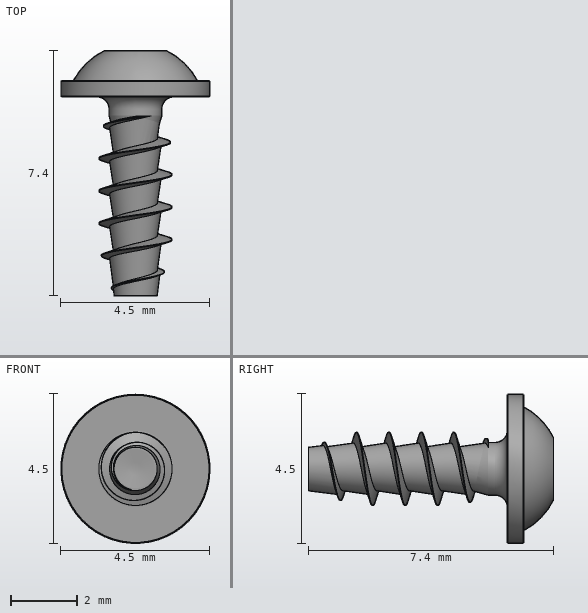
import cadquery as cq
import math


flange_diameter = 4.5
flange_thickness = 0.5
flange_edge_chamfer = 0.03
head_height = 1.4
dome_base_radius = 1.87
dome_top_radius = 0.94

screw_length = 6.0
shank_radius = 0.8
neck_fillet = 0.36
shank_length = 0.57
shank_runout_angle = 16.0
shank_runout_length = 0.6
tip_radius = 0.635
tip_rim_width = 0.045
tip_dimple_depth = 0.06

thread_radius = 1.105
thread_pitch = 0.98
crest_width = 0.025
flank_angle = 15.0
crest_start_angle = 90.0
crest_start_depth = 1.607
lead_in_rise_per_turn = 0.185
tip_taper_turn = 3
tip_taper_drop_per_turn = 0.315
crest_radius_at_tip = 0.655

groove_start_turn = -2.5
root_radius_upper = 0.78
root_radius_drop = 0.115
root_taper_turn = 3.5
root_taper_drop_per_turn = 0.15
outer_groove_radius = thread_radius + 0.1
points_per_turn = 24


def crest_depth(turn):
    return crest_start_depth + turn * thread_pitch


def crest_radius(turn):
    """Crest radius along the thread: rising lead-in, full radius, falling tip taper."""
    lead_in_drop = lead_in_rise_per_turn * max(0, -turn)
    tip_drop = tip_taper_drop_per_turn * max(0, turn - tip_taper_turn)
    return thread_radius - lead_in_drop - tip_drop


def upper_root_radius(turn):
    """Groove floor radius just below the crest at the given turn."""
    return root_radius_upper - root_taper_drop_per_turn * max(0, turn - root_taper_turn)


def flank_offset(turn, radius):
    """Axial distance from the crest centre to the thread flank at a radius."""
    flank_height = max(crest_radius(turn), upper_root_radius(turn)) - radius
    return crest_width / 2 + flank_height * math.tan(math.radians(flank_angle))


def make_head_and_shank():
    """Flanged dome head, neck fillet, plain shank and the cone where it runs out."""
    flange_radius = flange_diameter / 2
    dome_height = head_height - flange_thickness

    dome_top_to_center = (dome_base_radius**2 - dome_top_radius**2 + dome_height**2) / (2 * dome_height)
    dome_center = dome_top_to_center - head_height
    dome_radius = math.hypot(dome_top_radius, dome_top_to_center)
    dome_middle_radius = (dome_base_radius + dome_top_radius) / 2
    dome_middle = dome_center - math.sqrt(dome_radius**2 - dome_middle_radius**2)

    fillet_offset = neck_fillet * (1 - math.sqrt(0.5))
    runout_drop = shank_runout_length * math.tan(math.radians(shank_runout_angle))
    return (
        cq.Workplane("YZ")
        .moveTo(0, -head_height)
        .lineTo(dome_top_radius, -head_height)
        .threePointArc((dome_middle_radius, dome_middle), (dome_base_radius, -flange_thickness))
        .lineTo(flange_radius - flange_edge_chamfer, -flange_thickness)
        .lineTo(flange_radius, -flange_thickness + flange_edge_chamfer)
        .lineTo(flange_radius, -flange_edge_chamfer)
        .lineTo(flange_radius - flange_edge_chamfer, 0)
        .lineTo(shank_radius + neck_fillet, 0)
        .threePointArc(
            (shank_radius + fillet_offset, fillet_offset),
            (shank_radius, neck_fillet),
        )
        .lineTo(shank_radius, shank_length)
        .lineTo(shank_radius - runout_drop, shank_length + shank_runout_length)
        .lineTo(0, shank_length + shank_runout_length)
        .close()
        .revolve(360, (0, 0, 0), (0, 1, 0))
    )


def make_thread_blank():
    """Envelope of the thread crests, with a shallow conical dimple in the tip face."""
    thread_start_turn = (shank_length - crest_start_depth) / thread_pitch
    return (
        cq.Workplane("YZ")
        .moveTo(0, shank_length)
        .lineTo(crest_radius(thread_start_turn), shank_length)
        .lineTo(thread_radius, crest_depth(0))
        .lineTo(thread_radius, crest_depth(tip_taper_turn))
        .lineTo(crest_radius_at_tip, screw_length)
        .lineTo(tip_radius - tip_rim_width, screw_length)
        .lineTo(0, screw_length - tip_dimple_depth)
        .close()
        .revolve(360, (0, 0, 0), (0, 1, 0))
    )


def groove_corners(turn):
    """Corners (radius, depth) of the groove section between the crest at a turn and the next one."""
    upper_root = upper_root_radius(turn)
    lower_root = upper_root - root_radius_drop
    return [
        (outer_groove_radius, crest_depth(turn) + flank_offset(turn, outer_groove_radius)),
        (upper_root, crest_depth(turn) + flank_offset(turn, upper_root)),
        (lower_root, crest_depth(turn + 1) - flank_offset(turn + 1, lower_root)),
        (outer_groove_radius, crest_depth(turn + 1) - flank_offset(turn + 1, outer_groove_radius)),
    ]


def groove_edge(start_turn, corner):
    """One-turn spline along one corner of the groove section, winding about the axis."""
    points = []
    for step in range(points_per_turn + 1):
        turn = start_turn + step / points_per_turn
        radius, depth = groove_corners(turn)[corner]
        angle = math.radians(crest_start_angle + 360 * turn)
        points.append(cq.Vector(radius * math.cos(angle), radius * math.sin(angle), depth))
    return cq.Edge.makeSpline(points)


def make_groove_turn(start_turn):
    """One turn of the groove, bounded by four winding faces and two flat ends."""
    corner_count = len(groove_corners(start_turn))
    edges = [groove_edge(start_turn, corner) for corner in range(corner_count)]
    next_edges = edges[1:] + edges[:1]
    faces = [cq.Face.makeRuledSurface(first, second) for first, second in zip(edges, next_edges)]
    start_points = [edge.startPoint() for edge in edges]
    end_points = [edge.endPoint() for edge in edges]
    for section_points in (start_points, end_points):
        section = cq.Wire.makePolygon(section_points, close=True)
        faces.append(cq.Face.makeFromWires(section))
    groove_turn = cq.Solid.makeSolid(cq.Shell.makeShell(faces)).fix()
    return cq.Workplane(obj=groove_turn)


def make_threaded_shank():
    """Thread blank with the groove cut one turn at a time, from the shank to the tip."""
    turns_to_tip = (screw_length - crest_depth(groove_start_turn)) / thread_pitch
    threaded_shank = make_thread_blank()
    for turn in range(math.ceil(turns_to_tip)):
        threaded_shank = threaded_shank.cut(make_groove_turn(groove_start_turn + turn))
    return threaded_shank


screw = make_head_and_shank().union(make_threaded_shank())
result = screw.rotate((0, 0, 0), (1, 0, 0), 90)